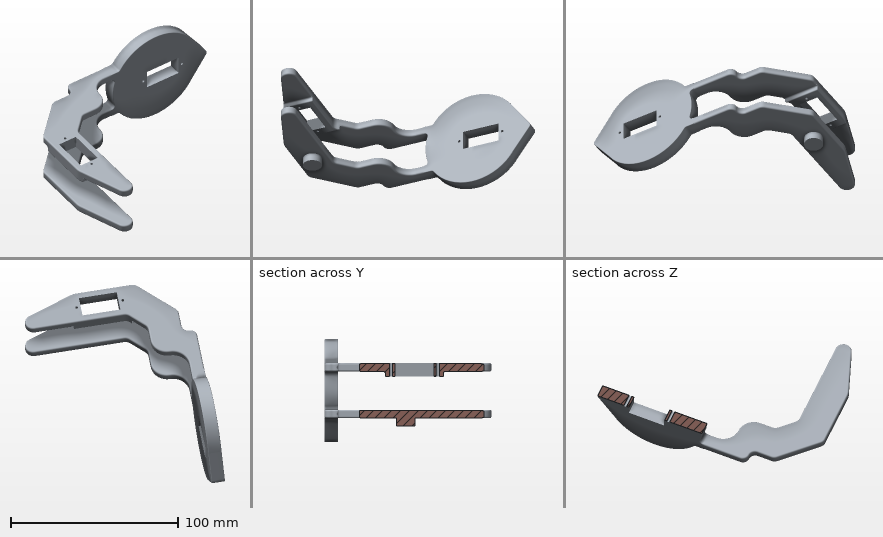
import cadquery as cq
import math

plate_thickness = 8.1
disc_radius = 30.8
disc_center_y = 97.1
tip_y = 134.5
tip_radius = 2.3
tip_half_angle = math.radians(54)
junction_radius = 2.0
junction_length = 3.4
plate_edge_radius = 0.4

arm_thickness = 5.0
arm_gap = 22.9
arm_edge_radius = 1.0
arm_corner_radius = 4.6
front_corner_radius = 10.0
step_radius = plate_thickness / 2
step_end_y = 33.2
shoulder_radius = 10.0
shoulder_y = 50.2
outer_diagonal_sum = 30.5
inner_diagonal_sum = 58.6
finger_back_y = 20.0
arm_length = 99.7
arm_root_y = 70.0
finger_radius = 5.0
finger_taper = math.radians(20)

window_length = 23.0
window_width = 12.1
screw_hole_diameter = 1.6
screw_hole_spacing = 28.0
plate_window_y = 102.3
arm_window_x = 53.5
arm_window_y = 10.0

pad_length = 35.0
pad_height = 3.0
pad_edge_radius = 0.7
pad_flare_radius = 1.0
pad_flare_overlap = 0.3

pin_diameter = 11.4
pin_length = 4.8
pin_x = 48.4
pin_y = 10.2

upper_arm_z = arm_gap / 2
lower_arm_z = -arm_gap / 2 - arm_thickness


def edge_centered_at(x, y, z):
    """Selector for the edge whose midpoint lies at the given place."""
    reach = 0.1
    low = (x - reach, y - reach, z - reach)
    high = (x + reach, y + reach, z + reach)
    return cq.selectors.BoxSelector(low, high)


def servo_cutter(workplane, depth):
    """Window and screw holes with their row along the workplane's local X."""
    window = workplane.rect(window_length, window_width).extrude(depth)
    half_spacing = screw_hole_spacing / 2
    holes = (
        workplane.pushPoints([(-half_spacing, 0), (half_spacing, 0)])
        .circle(screw_hole_diameter / 2)
        .extrude(depth)
    )
    return window.union(holes)


def disc_front_y(z):
    """Y of the disc rim on the arm side at height z."""
    return disc_center_y - math.sqrt(disc_radius**2 - z**2)


def make_plate():
    disc = (
        cq.Workplane("YZ").center(disc_center_y, 0).circle(disc_radius).extrude(plate_thickness)
    )
    sharp_tip_y = tip_y + tip_radius * (1 / math.sin(tip_half_angle) - 1)
    flank_foot_y = disc_center_y + disc_radius * math.sin(tip_half_angle)
    flank_foot_z = (sharp_tip_y - flank_foot_y) * math.tan(tip_half_angle)
    tip = (
        cq.Workplane("YZ")
        .moveTo(disc_center_y, 0)
        .lineTo(flank_foot_y, flank_foot_z)
        .lineTo(sharp_tip_y, 0)
        .lineTo(flank_foot_y, -flank_foot_z)
        .close()
        .extrude(plate_thickness)
        .edges("|X and >Y")
        .fillet(tip_radius)
    )
    plate = disc.union(tip)

    outer_z = upper_arm_z + arm_thickness
    root_end_y = disc_front_y(upper_arm_z) - junction_length
    root_length = disc_center_y - root_end_y
    for root_z in (upper_arm_z, lower_arm_z):
        root = cq.Workplane("XY").box(plate_thickness, root_length, arm_thickness, centered=False)
        plate = plate.union(root.translate((0, root_end_y, root_z)))
    for z in (outer_z, upper_arm_z, -upper_arm_z, -outer_z):
        y = disc_front_y(z)
        plate = plate.edges(edge_centered_at(plate_thickness / 2, y, z)).fillet(junction_radius)
    plate = plate.faces("<X or >X").edges("not |Z").fillet(plate_edge_radius)

    seat = cq.Workplane("YZ").center(plate_window_y, 0)
    return plate.cut(servo_cutter(seat, plate_thickness))


def arm_blank(thickness):
    """Arm outline standing on Z = 0, with all its corners rounded and its rims sharp."""
    finger_x = arm_length - finger_radius
    finger_y = finger_back_y - finger_radius
    slope_x = finger_x + finger_radius * math.sin(finger_taper)
    slope_y = finger_y - finger_radius * math.cos(finger_taper)
    slope_foot_x = slope_x - slope_y / math.tan(finger_taper)

    shoulder_x = plate_thickness + 2 * shoulder_radius
    bend = math.sqrt(0.5)
    shoulder_bulge = shoulder_radius * (1 - bend)
    step_top_y = step_end_y + 2 * step_radius
    step_middle_y = step_end_y + step_radius
    blank = (
        cq.Workplane("XY")
        .moveTo(0, arm_root_y)
        .lineTo(0, step_top_y)
        .threePointArc(
            (step_radius * (1 - bend), step_top_y - step_radius * bend), (step_radius, step_middle_y)
        )
        .threePointArc(
            (step_radius * (1 + bend), step_end_y + step_radius * bend), (plate_thickness, step_end_y)
        )
        .lineTo(plate_thickness, outer_diagonal_sum - plate_thickness)
        .lineTo(outer_diagonal_sum, 0)
        .lineTo(slope_foot_x, 0)
        .lineTo(slope_x, slope_y)
        .threePointArc(
            (
                finger_x + finger_radius * math.cos(finger_taper),
                finger_y + finger_radius * math.sin(finger_taper),
            ),
            (finger_x, finger_back_y),
        )
        .lineTo(inner_diagonal_sum - finger_back_y, finger_back_y)
        .lineTo(shoulder_x, inner_diagonal_sum - shoulder_x)
        .lineTo(shoulder_x, shoulder_y - shoulder_radius)
        .threePointArc(
            (shoulder_x - shoulder_bulge, shoulder_y - shoulder_bulge),
            (shoulder_x - shoulder_radius, shoulder_y),
        )
        .threePointArc(
            (plate_thickness + shoulder_bulge, shoulder_y + shoulder_bulge),
            (plate_thickness, shoulder_y + shoulder_radius),
        )
        .lineTo(plate_thickness, arm_root_y)
        .close()
        .extrude(thickness)
    )

    corners_to_round = [
        (plate_thickness, outer_diagonal_sum - plate_thickness, arm_corner_radius),
        (outer_diagonal_sum, 0, arm_corner_radius),
        (slope_foot_x, 0, front_corner_radius),
        (inner_diagonal_sum - finger_back_y, finger_back_y, arm_corner_radius),
        (shoulder_x, inner_diagonal_sum - shoulder_x, arm_corner_radius),
    ]
    for x, y, radius in corners_to_round:
        blank = blank.edges(edge_centered_at(x, y, thickness / 2)).fillet(radius)
    return blank


def make_arm():
    """Plain arm standing on Z = 0, with its upper and lower rims rounded."""
    rims = arm_blank(arm_thickness).faces("<Z or >Z").edges("not >Y")
    return rims.fillet(arm_edge_radius)


def make_pad():
    """Pad hanging below Z = 0, following the arm outline and flaring out at its top ends."""
    half_length = pad_length / 2
    flared_half_length = half_length + pad_flare_radius
    pad_top = arm_thickness / 2
    mid_arc = pad_flare_radius * (1 - math.sqrt(0.5))
    profile = (
        cq.Workplane("XZ")
        .center(arm_window_x, 0)
        .moveTo(-half_length, -pad_height)
        .lineTo(half_length, -pad_height)
        .lineTo(half_length, -pad_flare_radius)
        .threePointArc((half_length + mid_arc, -mid_arc), (flared_half_length, 0))
        .lineTo(flared_half_length, pad_flare_overlap)
        .lineTo(half_length, pad_flare_overlap)
        .lineTo(half_length, pad_top)
        .lineTo(-half_length, pad_top)
        .lineTo(-half_length, pad_flare_overlap)
        .lineTo(-flared_half_length, pad_flare_overlap)
        .lineTo(-flared_half_length, 0)
        .threePointArc((-half_length - mid_arc, -mid_arc), (-half_length, -pad_flare_radius))
        .close()
        .extrude(-arm_root_y)
    )
    outline = arm_blank(pad_height + pad_top).translate((0, 0, -pad_height))
    return outline.intersect(profile).faces("<Z").edges().fillet(pad_edge_radius)


def make_upper_arm():
    seat = cq.Workplane("XY").workplane(offset=-pad_height).center(arm_window_x, arm_window_y)
    arm = make_arm().union(make_pad()).cut(servo_cutter(seat, pad_height + arm_thickness))
    return arm.translate((0, 0, upper_arm_z))


def make_lower_arm():
    pin = cq.Workplane("XY").center(pin_x, pin_y).circle(pin_diameter / 2).extrude(-pin_length)
    return make_arm().union(pin).translate((0, 0, lower_arm_z))


result = make_plate().union(make_upper_arm()).union(make_lower_arm())